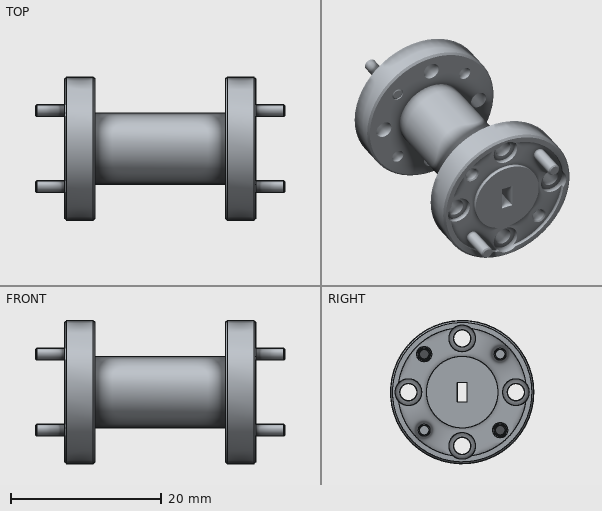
import cadquery as cq
import math

OVERALL_LENGTH = 33.15
BODY_LENGTH = 25.4

FLANGE_DIAMETER = 19.05
FLANGE_THICKNESS = 4.05
FLANGE_CHAMFER = 0.25
TUBE_DIAMETER = 9.5

RECESS_OUTER_DIAMETER = 17.1
BOSS_DIAMETER = TUBE_DIAMETER
RECESS_DEPTH = 0.5

BOLT_CIRCLE_DIAMETER = 14.3
HOLES_PER_KIND = 4
HOLE_SPACING_ANGLE = 360 / HOLES_PER_KIND
PIN_START_ANGLE = HOLE_SPACING_ANGLE / 2
SCREW_HOLE_DIAMETER = 2.25
COUNTERBORE_DIAMETER = 3.55
COUNTERBORE_DEPTH = 1.2

PIN_DIAMETER = 1.6
PIN_CHAMFER = 0.15
PIN_LENGTH = FLANGE_THICKNESS + (OVERALL_LENGTH - BODY_LENGTH) / 2
OPEN_HOLE_DIAMETER = 1.7
OPEN_HOLE_CHAMFER = 0.15

LARGE_MOUTH_WIDTH = 1.55
LARGE_MOUTH_HEIGHT = 3.1
SMALL_MOUTH_WIDTH = 1.25
SMALL_MOUTH_HEIGHT = 2.55

HALF_BODY = BODY_LENGTH / 2
INNER_FACE = HALF_BODY - FLANGE_THICKNESS

LEFT, RIGHT = -1, 1


def circle_point(angle):
    """(Y, Z) of the bolt circle point at an angle from +Y towards +Z."""
    turn = math.radians(angle)
    radius = BOLT_CIRCLE_DIAMETER / 2
    return radius * math.cos(turn), radius * math.sin(turn)


def pin_points(side):
    """Pins stand on one diagonal at -X and on the other diagonal at +X."""
    first = PIN_START_ANGLE if side == RIGHT else PIN_START_ANGLE + HOLE_SPACING_ANGLE
    return [circle_point(first), circle_point(first + 180)]


def rod(diameter, start, end, points=((0, 0),)):
    """Cylinders along X, from start to end, centred at the (Y, Z) points."""
    return cq.Workplane("YZ", origin=(start, 0, 0)).pushPoints(points).circle(diameter / 2).extrude(end - start)


def flange_blank(side):
    """Disc with both rims chamfered."""
    inner = side * INNER_FACE
    disc = rod(FLANGE_DIAMETER, inner, side * HALF_BODY)
    return disc.edges("%CIRCLE").chamfer(FLANGE_CHAMFER)


def face_recess(side):
    """Ring to be cut around the central boss."""
    floor = side * (HALF_BODY - RECESS_DEPTH)
    ring = rod(RECESS_OUTER_DIAMETER, floor, side * HALF_BODY)
    return ring.cut(rod(BOSS_DIAMETER, floor, side * HALF_BODY))


def hole_chamfer(side, point):
    """Conical mouth of an open pin hole, on the floor of the face recess."""
    floor = side * (HALF_BODY - RECESS_DEPTH)
    mouth_radius = OPEN_HOLE_DIAMETER / 2 + OPEN_HOLE_CHAMFER
    apex_direction = cq.Vector(-side, 0, 0)
    cone = cq.Solid.makeCone(mouth_radius, 0, mouth_radius, cq.Vector(floor, *point), apex_direction)
    return cq.Workplane(cone)


def flange_holes(side):
    """Counterbored screw holes, fitted pin holes and open pin holes through one flange."""
    inner = side * INNER_FACE
    face = side * HALF_BODY
    screws = [circle_point(i * HOLE_SPACING_ANGLE) for i in range(HOLES_PER_KIND)]
    holes = rod(SCREW_HOLE_DIAMETER, inner, face, screws)
    holes = holes.add(rod(COUNTERBORE_DIAMETER, side * (HALF_BODY - COUNTERBORE_DEPTH), face, screws))
    holes = holes.add(rod(PIN_DIAMETER, inner, face, pin_points(side)))
    holes = holes.add(rod(OPEN_HOLE_DIAMETER, inner, face, pin_points(-side)))
    for point in pin_points(-side):
        holes = holes.add(hole_chamfer(side, point))
    return holes.combine()


def waveguide():
    """Tapered channel running the full length of the housing."""
    return (
        cq.Workplane("YZ", origin=(-HALF_BODY, 0, 0))
        .rect(LARGE_MOUTH_WIDTH, LARGE_MOUTH_HEIGHT)
        .workplane(offset=BODY_LENGTH)
        .rect(SMALL_MOUTH_WIDTH, SMALL_MOUTH_HEIGHT)
        .loft(ruled=True)
    )


def make_housing():
    """Tube and two flanges as one solid, with the waveguide through it."""
    housing = rod(TUBE_DIAMETER, -INNER_FACE, INNER_FACE)
    for side in (LEFT, RIGHT):
        flange = flange_blank(side).cut(face_recess(side)).cut(flange_holes(side))
        housing = housing.union(flange)
    return housing.cut(waveguide())


def make_pin(side, point):
    """Dowel ending level with the inner flange face, chamfered at both ends."""
    inner = side * INNER_FACE
    pin = rod(PIN_DIAMETER, inner, inner + side * PIN_LENGTH, [point])
    return pin.edges("%CIRCLE").chamfer(PIN_CHAMFER)


housing = make_housing()
pins = [make_pin(side, point) for side in (LEFT, RIGHT) for point in pin_points(side)]

result = cq.Compound.makeCompound([housing.val(), *[pin.val() for pin in pins]])